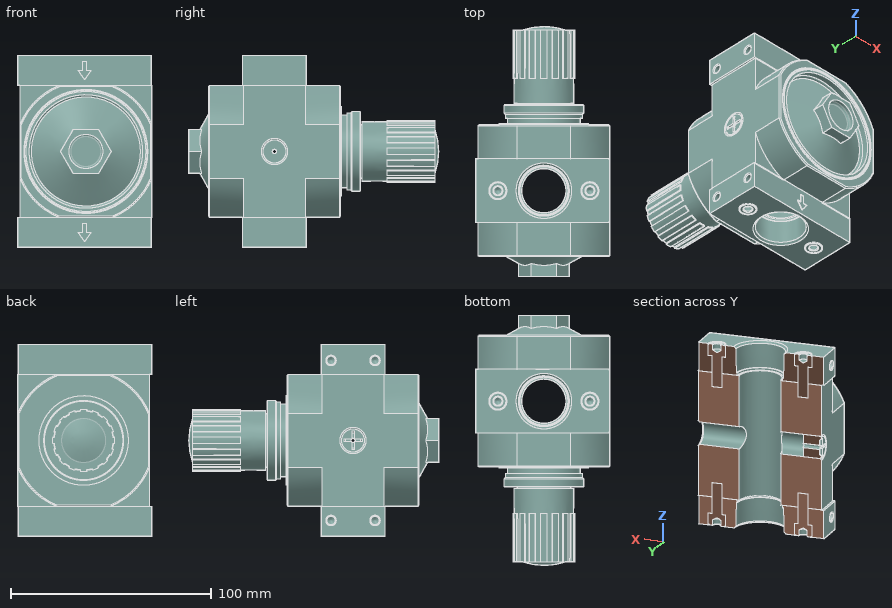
import cadquery as cq
import math


housing_size = 66.0
half_housing = housing_size / 2
barrel_radius = 35.6
edge_chamfer = 0.6
web_width = 31.0
flow_bore_dia = 22.0

boss_dia = 44.8
boss_end = 33.5
neck_dia = 36.5
neck_end = 36.1
collar_dia = 38.6
collar_end = 38.1
ring_dia = 40.0
ring_end = 43.0
ring_chamfer = 0.4
stem_dia = 26.9
stem_end = 43.6

cap_dia = 60.0
cap_depth = 8.0
cap_gap = 0.6
cap_gap_depth = 0.8
cap_mouth_chamfer = 0.4
rim_inner_dia = 56.8
dome_floor = 4.6
dome_slope = 0.55
floor_fillet = 1.1
hex_width = 22.0
hex_end = -42.9
hex_bore_dia = 17.0
hex_bore_depth = 3.0
hex_bore_fillet = 1.0

plate_min_x = -34.1
plate_max_x = 32.8
plate_depth = 32.0
plate_thickness = 15.0
plate_outer_z = half_housing + plate_thickness
port_mouth_dia = 27.8
port_top_dia = 25.5
port_bottom_dia = 24.9
port_depth = 13.8
port_seat_dia = 24.0
pin_hole_dia = 4.2
pin_hole_mouth_dia = 5.2
pin_hole_depth = 5.0
pin_hole_y = 11.0
pin_hole_z = 40.0
arrow_depth = 0.2
arrow_x = -0.6
arrow_length = 9.1
arrow_head_length = 4.6
arrow_head_half = 3.2
arrow_shaft_half = 1.0
arrow_margin = 3.0

screw_x = 23.0
screw_head_dia = 9.0
screw_head_chamfer = 0.5
screw_head_height = 6.2
screw_shank_dia = 5.0
screw_length = 22.5
socket_dia = 4.1
socket_mouth_dia = 5.0
socket_depth = 3.1

drill_half_angle = math.radians(60)

plug_dia = 11.5
port_countersink_dia = 13.1
plug_length = 10.0
plug_hole_dia = 2.0
plug_slot_length = 9.2
plug_slot_floor_length = 7.5
plug_slot_width = 1.2
plug_slot_depth = 1.2

knob_base_dia = 30.0
knob_top_dia = 29.5
knob_rib_start = 56.1
knob_shoulder = 80.2
knob_end = 82.1
crown_dia = 22.0
rib_count = 16
rib_outer_dia = 31.0
rib_width = 3.2


def revolve_profile(profile):
    """Close a half profile and turn it about the second axis of its own workplane."""
    return profile.close().revolve(360, (0, 0, 0), (0, 1, 0))


def bored_hole(dia, mouth_dia, depth):
    """Cutter along -Z from the origin: countersunk mouth, bore and conical bottom."""
    radius = dia / 2
    mouth_radius = mouth_dia / 2
    profile = (
        cq.Workplane("XZ")
        .moveTo(0, 0)
        .lineTo(mouth_radius, 0)
        .lineTo(radius, radius - mouth_radius)
        .lineTo(radius, -depth)
        .lineTo(0, -depth - radius / math.tan(drill_half_angle))
    )
    return revolve_profile(profile)


def make_screw_envelope():
    """Plain head and shank of a screw whose head top lies in the outer face of the +Z plate."""
    head = (
        cq.Workplane("XY")
        .workplane(offset=plate_outer_z - screw_head_height)
        .circle(screw_head_dia / 2)
        .extrude(screw_head_height)
    )
    shank = (
        cq.Workplane("XY")
        .workplane(offset=plate_outer_z - screw_length)
        .circle(screw_shank_dia / 2)
        .extrude(screw_length - screw_head_height)
    )
    return head.union(shank).translate((screw_x, 0, 0))


def make_screw():
    """Screw with a chamfered head and a round socket."""
    socket = bored_hole(socket_dia, socket_mouth_dia, socket_depth)
    return (
        make_screw_envelope()
        .faces(">Z")
        .chamfer(screw_head_chamfer)
        .cut(socket.translate((screw_x, 0, plate_outer_z)))
    )


def at_screw_places(body):
    """The four copies of a +X, +Z screw body, two on each plate."""
    copies = []
    for turn_y in (0, 180):
        for turn_z in (0, 180):
            copy = body.rotate((0, 0, 0), (0, 0, 1), turn_z)
            copies.append(copy.rotate((0, 0, 0), (0, 1, 0), turn_y))
    return copies


def make_bonnet():
    """Stepped boss, neck, collar, ring and stem on the +Y face."""
    ring_start = collar_end + (ring_dia - collar_dia) / 2
    profile = (
        cq.Workplane("XY")
        .moveTo(0, half_housing)
        .lineTo(boss_dia / 2, half_housing)
        .lineTo(boss_dia / 2, boss_end)
        .lineTo(neck_dia / 2, boss_end)
        .lineTo(neck_dia / 2, neck_end)
        .lineTo(collar_dia / 2, neck_end)
        .lineTo(collar_dia / 2, collar_end)
        .lineTo(ring_dia / 2, ring_start)
        .lineTo(ring_dia / 2, ring_end - ring_chamfer)
        .lineTo(ring_dia / 2 - ring_chamfer, ring_end)
        .lineTo(stem_dia / 2, ring_end)
        .lineTo(stem_dia / 2, stem_end)
        .lineTo(0, stem_end)
    )
    return revolve_profile(profile)


def make_cap_seat():
    """Bore for the cap with a clearance groove and a chamfered mouth."""
    seat_radius = cap_dia / 2
    gap_radius = seat_radius + cap_gap
    front = -half_housing
    profile = (
        cq.Workplane("XY")
        .moveTo(0, front)
        .lineTo(gap_radius + cap_mouth_chamfer, front)
        .lineTo(gap_radius, front + cap_mouth_chamfer)
        .lineTo(gap_radius, front + cap_gap_depth)
        .lineTo(seat_radius, front + cap_gap_depth)
        .lineTo(seat_radius, front + cap_depth)
        .lineTo(0, front + cap_depth)
    )
    return revolve_profile(profile)


def make_housing():
    """Flat-sided barrel with a square web between the plates, the bonnet and all passages."""
    square = cq.Workplane("XY").box(housing_size, housing_size, housing_size)
    barrel = (
        cq.Workplane("XZ")
        .circle(barrel_radius)
        .extrude(half_housing, both=True)
        .intersect(square)
        .faces("<Y or >Y")
        .chamfer(edge_chamfer)
    )
    web = cq.Workplane("XY").box(housing_size, web_width, housing_size)
    flow_bore = cq.Workplane("XY").circle(flow_bore_dia / 2).extrude(half_housing, both=True)
    gauge_bore = cq.Workplane("YZ").circle(plug_dia / 2).extrude(half_housing, both=True)
    body = barrel.union(web).union(make_bonnet()).cut(make_cap_seat()).cut(flow_bore).cut(gauge_bore)
    countersink = (port_countersink_dia - plug_dia) / 2
    mouth = (
        cq.Workplane("YZ")
        .workplane(offset=half_housing - countersink)
        .circle(plug_dia / 2)
        .workplane(offset=countersink)
        .circle(port_countersink_dia / 2)
        .loft()
    )
    body = body.cut(mouth).cut(mouth.mirror("YZ"))
    for space in at_screw_places(make_screw_envelope()):
        body = body.cut(space)
    return body


def make_cap():
    """Round cap with a raised rim, a conical dome and a hexagon with a blind bore."""
    front = -half_housing
    floor = front + dome_floor
    rim_radius = rim_inner_dia / 2
    dome_radius = rim_radius - floor_fillet
    crest_radius = hex_bore_dia / 2
    crest = floor - dome_slope * (dome_radius - crest_radius)
    profile = (
        cq.Workplane("XY")
        .moveTo(0, front + cap_depth)
        .lineTo(cap_dia / 2, front + cap_depth)
        .lineTo(cap_dia / 2, front)
        .lineTo(rim_radius, front)
        .lineTo(rim_radius, floor - floor_fillet)
        .radiusArc((dome_radius, floor), floor_fillet)
        .lineTo(crest_radius, crest)
        .lineTo(0, crest)
    )
    hexagon = (
        cq.Workplane("XZ")
        .workplane(offset=half_housing)
        .polygon(6, hex_width / math.cos(math.pi / 6))
        .extrude(-hex_end - half_housing)
    )
    bore = (
        cq.Workplane("XZ")
        .workplane(offset=-hex_end - hex_bore_depth)
        .circle(hex_bore_dia / 2)
        .extrude(hex_bore_depth)
        .faces(">Y")
        .edges()
        .fillet(hex_bore_fillet)
    )
    return revolve_profile(profile).union(hexagon).cut(bore)


def make_arrow(side):
    """Flow arrow pointing down, engraved in the -Y side of the +Z (side = 1) or -Z (side = -1) plate."""
    plate_top = plate_outer_z if side > 0 else -half_housing
    top = plate_top - arrow_margin
    head_top = top - arrow_length + arrow_head_length
    outline = [
        (-arrow_shaft_half, top),
        (arrow_shaft_half, top),
        (arrow_shaft_half, head_top),
        (arrow_head_half, head_top),
        (0, top - arrow_length),
        (-arrow_head_half, head_top),
        (-arrow_shaft_half, head_top),
    ]
    return (
        cq.Workplane("XZ")
        .workplane(offset=plate_depth / 2 - arrow_depth)
        .polyline(outline)
        .close()
        .extrude(arrow_depth)
        .translate((arrow_x, 0, 0))
    )


def make_port():
    """Flow port of the +Z plate: chamfered mouth, slightly tapered bore and narrower seat."""
    mouth_chamfer = (port_mouth_dia - port_top_dia) / 2
    profile = (
        cq.Workplane("XZ")
        .moveTo(0, plate_outer_z)
        .lineTo(port_mouth_dia / 2, plate_outer_z)
        .lineTo(port_top_dia / 2, plate_outer_z - mouth_chamfer)
        .lineTo(port_bottom_dia / 2, plate_outer_z - port_depth)
        .lineTo(port_seat_dia / 2, plate_outer_z - port_depth)
        .lineTo(port_seat_dia / 2, half_housing)
        .lineTo(0, half_housing)
    )
    return revolve_profile(profile)


def make_plate(side):
    """Connecting plate on the +Z (side = 1) or -Z (side = -1) face of the housing."""
    plate = (
        cq.Workplane("XY")
        .box(plate_max_x - plate_min_x, plate_depth, plate_thickness)
        .translate(((plate_min_x + plate_max_x) / 2, 0, half_housing + plate_thickness / 2))
    )
    plate = plate.cut(make_port())
    for y in (-pin_hole_y, pin_hole_y):
        pin_hole = bored_hole(pin_hole_dia, pin_hole_mouth_dia, pin_hole_depth)
        pin_hole = pin_hole.rotate((0, 0, 0), (0, 1, 0), -90)
        plate = plate.cut(pin_hole.translate((plate_min_x, y, pin_hole_z)))
    if side < 0:
        plate = plate.mirror("XY")
    for space in at_screw_places(make_screw_envelope()):
        plate = plate.cut(space)
    return plate.cut(make_arrow(side))


def make_plug():
    """Plug flush with the -X face, with crossed slots and a hole through it."""
    plug = (
        cq.Workplane("YZ")
        .workplane(offset=-half_housing)
        .circle(plug_dia / 2)
        .extrude(plug_length)
    )
    slot = (
        cq.Workplane("XY")
        .moveTo(-half_housing, -plug_slot_length / 2)
        .lineTo(-half_housing, plug_slot_length / 2)
        .lineTo(-half_housing + plug_slot_depth, plug_slot_floor_length / 2)
        .lineTo(-half_housing + plug_slot_depth, -plug_slot_floor_length / 2)
        .close()
        .extrude(plug_slot_width / 2, both=True)
    )
    hole = cq.Workplane("YZ").circle(plug_hole_dia / 2).extrude(-half_housing)
    return plug.cut(slot).cut(slot.rotate((0, 0, 0), (1, 0, 0), 90)).cut(hole)


def make_knob():
    """Slightly tapered knob with a domed crown and straight grip ribs."""
    crown_radius = crown_dia / 2
    crown_height = knob_end - knob_shoulder
    crown_sphere = (crown_radius**2 + crown_height**2) / (2 * crown_height)
    profile = (
        cq.Workplane("XY")
        .moveTo(0, stem_end)
        .lineTo(knob_base_dia / 2, stem_end)
        .lineTo(knob_top_dia / 2, knob_shoulder)
        .lineTo(crown_radius, knob_shoulder)
        .radiusArc((0, knob_end), -crown_sphere)
    )
    knob = revolve_profile(profile)
    rib_length = knob_shoulder - knob_rib_start
    rib_sleeve = (
        cq.Workplane("XZ").workplane(offset=-knob_shoulder).circle(rib_outer_dia / 2).extrude(rib_length)
    )
    rib = (
        cq.Workplane("XY")
        .box(rib_outer_dia / 2, rib_length, rib_width, centered=(False, False, True))
        .translate((0, knob_rib_start, 0))
        .intersect(rib_sleeve)
    )
    for i in range(rib_count):
        knob = knob.union(rib.rotate((0, 0, 0), (0, 1, 0), i * 360 / rib_count))
    return knob


housing = make_housing()
cap = make_cap()
plates = [make_plate(side) for side in (1, -1)]
screws = at_screw_places(make_screw())
plug = make_plug()
knob = make_knob()

result = cq.Compound.makeCompound(
    [
        housing.val(),
        cap.val(),
        *[plate.val() for plate in plates],
        *[screw.val() for screw in screws],
        plug.val(),
        knob.val(),
    ]
)